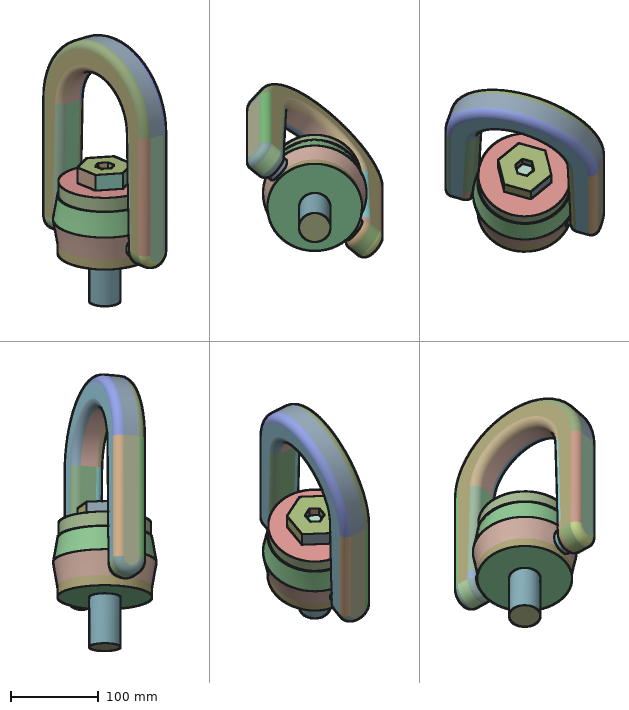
import cadquery as cq
import math


stud_diameter = 36.0
stud_length = 58.8
flange_diameter = 108.0
flange_height = 11.8
barrel_diameter = 118.3
barrel_half_height = 29.3
collar_diameter = 106.0
collar_height = 17.0
head_flats = 55.0
head_height = 19.0
socket_flats = 19.0
socket_depth = 12.0

total_height = 318.0
bow_width = 183.0
bow_thickness = 38.2
bow_edge_radius = 9.5
opening_radius = 54.7
foot_inner_x = 58.2
foot_top = 37.0
pin_diameter = 28.5
pin_height = 24.8
pin_end_x = 44.5

barrel_middle = flange_height + barrel_half_height
barrel_top = barrel_middle + barrel_half_height
collar_top = barrel_top + collar_height
head_top = collar_top + head_height
bow_half_width = bow_width / 2
bow_top = total_height - stud_length
arch_height = bow_top - bow_half_width


def hexagon_prism(flats, base_z, height):
    """Hexagonal prism with corners on the X axis; a negative height runs downwards."""
    corner_diameter = flats / math.cos(math.pi / 6)
    return cq.Workplane("XY", origin=(0, 0, base_z)).polygon(6, corner_diameter).extrude(height)


def make_pins():
    """Two coaxial stub pins, each running from the middle of a leg into the housing."""
    leg_middle_x = (foot_inner_x + bow_half_width) / 2
    pin = (
        cq.Workplane("YZ", origin=(pin_end_x, 0, pin_height))
        .circle(pin_diameter / 2)
        .extrude(leg_middle_x - pin_end_x)
    )
    return [pin, pin.mirror("YZ")]


def make_turned_body():
    """Solid of revolution: flange, double-cone barrel and collar."""
    flange_r = flange_diameter / 2
    barrel_r = barrel_diameter / 2
    collar_r = collar_diameter / 2
    return (
        cq.Workplane("XZ")
        .lineTo(flange_r, 0)
        .lineTo(flange_r, flange_height)
        .lineTo(barrel_r, barrel_middle)
        .lineTo(flange_r, barrel_top)
        .lineTo(collar_r, barrel_top)
        .lineTo(collar_r, collar_top)
        .lineTo(0, collar_top)
        .close()
        .revolve(360, (0, 0, 0), (0, 1, 0))
    )


def make_housing():
    """Turned housing with hexagon bolt head, stud and sockets for the bow's pins."""
    stud = cq.Workplane("XY").circle(stud_diameter / 2).extrude(-stud_length)
    head = hexagon_prism(head_flats, collar_top, head_height)
    housing = make_turned_body().union(stud).union(head)
    housing = housing.cut(hexagon_prism(socket_flats, head_top, -socket_depth))
    for pin in make_pins():
        housing = housing.cut(pin)
    return housing


def make_bow():
    """Arched bow with rounded feet and two inward stub pins."""
    foot_round = bow_thickness / 2
    foot_z = pin_height - foot_round

    lean = math.atan((foot_inner_x - opening_radius) / (arch_height - foot_top))
    tangent_x = opening_radius * math.cos(lean)
    opening_top = arch_height + opening_radius * (1 - math.sin(lean))

    bow = (
        cq.Workplane("XZ")
        .moveTo(-bow_half_width, foot_z)
        .lineTo(-bow_half_width, arch_height)
        .threePointArc((0, bow_top), (bow_half_width, arch_height))
        .lineTo(bow_half_width, foot_z)
        .lineTo(foot_inner_x, foot_z)
        .lineTo(foot_inner_x, foot_top)
        .lineTo(tangent_x, arch_height)
        .threePointArc((0, opening_top), (-tangent_x, arch_height))
        .lineTo(-foot_inner_x, foot_top)
        .lineTo(-foot_inner_x, foot_z)
        .close()
        .extrude(foot_round, both=True)
    )

    side_outline = (
        cq.Workplane("YZ")
        .moveTo(-foot_round, pin_height)
        .threePointArc((0, foot_z), (foot_round, pin_height))
        .lineTo(foot_round, bow_top)
        .lineTo(-foot_round, bow_top)
        .close()
        .extrude(bow_half_width, both=True)
    )
    bow = bow.intersect(side_outline)

    bow = bow.edges("not(|X or |Y)").fillet(bow_edge_radius)

    bow = bow.cut(make_turned_body())
    for pin in make_pins():
        bow = bow.union(pin)
    return bow


housing = make_housing()
bow = make_bow()

result = cq.Compound.makeCompound([*housing.solids().vals(), *bow.solids().vals()])